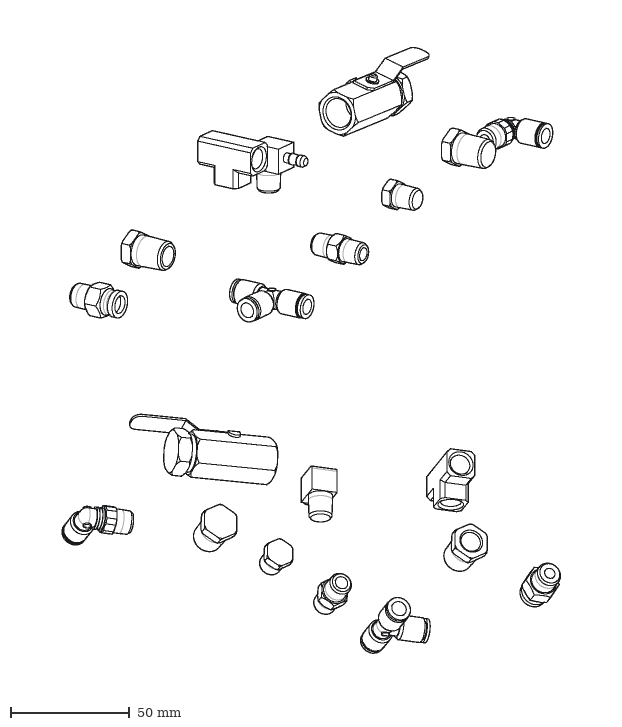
import cadquery as cq
import math


SMALL_THREAD_D = 9.9
LARGE_THREAD_D = 13.2
THREAD_TAPER = 1 / 32
TIP_CHAMFER = 1.1
TIP_DROP = 0.7
HEX_CHAMFER = 0.5
SMALL_HEX_FLATS = 11.4
LARGE_HEX_FLATS = 14.3


def turned(profile):
    """Solid of revolution about X from (x, radius) points in order of x."""
    first_x = profile[0][0]
    last_x = profile[-1][0]
    outline = [(first_x, 0), *profile, (last_x, 0)]
    return cq.Workplane("XY").polyline(outline).close().revolve(360, (0, 0, 0), (1, 0, 0))


def rod(start, end, diameter):
    """Cylinder along X."""
    return turned([(start, diameter / 2), (end, diameter / 2)])


def countersink(diameter, depth):
    """Cone that widens the mouth of a bore of this diameter at x = 0."""
    radius = diameter / 2
    return turned([(0, radius + depth), (depth, radius)])


def chamfered_hexagon(start, end, flats, corners_up, left_chamfer, right_chamfer, chamfer_drop):
    """Hexagon bar along X with its corners turned off; a chamfer of 0 leaves that end square."""
    corner_d = flats / math.cos(math.pi / 6)
    bar = cq.Workplane("YZ").workplane(offset=start).polygon(6, corner_d).extrude(end - start)
    if corners_up:
        bar = bar.rotate((0, 0, 0), (1, 0, 0), 30)
    full = corner_d / 2
    envelope = [(start + left_chamfer, full), (end - right_chamfer, full)]
    if left_chamfer:
        envelope.insert(0, (start, full - chamfer_drop))
    if right_chamfer:
        envelope.append((end, full - chamfer_drop))
    return bar.intersect(turned(envelope))


def taper_thread(start, length, diameter, plain):
    """Male pipe thread along +X: a plain shank, a taper and a chamfered tip."""
    radius = diameter / 2
    taper_end = length - TIP_CHAMFER
    tip_radius = radius - (taper_end - plain) * THREAD_TAPER
    return turned([
        (start, radius),
        (start + plain, radius),
        (start + taper_end, tip_radius),
        (start + length, tip_radius - TIP_DROP),
    ])


def along_minus_y(body):
    """Turns the +X direction of a body to -Y."""
    return body.rotate((0, 0, 0), (0, 0, 1), -90)


LARGE_HEAD = 4.8
LARGE_LENGTH = 19.0
LARGE_SHANK = 2.7
SMALL_HEAD = 4.4
SMALL_LENGTH = 14.5
SMALL_SHANK = 2.2
BUSHING_BORE_D = 8.6
BUSHING_MOUTH = 0.7


def headed_thread(head, total, flats, thread_d, shank):
    hexagon = chamfered_hexagon(0, head, flats, True, HEX_CHAMFER, HEX_CHAMFER, HEX_CHAMFER)
    return hexagon.union(taper_thread(head, total - head, thread_d, shank))


def make_large_plug():
    plug = headed_thread(LARGE_HEAD, LARGE_LENGTH, LARGE_HEX_FLATS, LARGE_THREAD_D, LARGE_SHANK)
    return plug.translate((68.7 - LARGE_LENGTH, 22.5, 25.0))


def make_small_plug():
    plug = headed_thread(SMALL_HEAD, SMALL_LENGTH, SMALL_HEX_FLATS, SMALL_THREAD_D, SMALL_SHANK)
    return plug.translate((32.2, 2.0, 6.2))


def make_bushing():
    bushing = headed_thread(LARGE_HEAD, LARGE_LENGTH, LARGE_HEX_FLATS, LARGE_THREAD_D, LARGE_SHANK)
    bushing = bushing.cut(rod(0, LARGE_LENGTH, BUSHING_BORE_D))
    bushing = bushing.cut(countersink(BUSHING_BORE_D, BUSHING_MOUTH))
    return bushing.translate((-63.4, -51.1, -21.8))


NIPPLE_HALF = 12.1
NIPPLE_HEX_HALF = 3.0
NIPPLE_HEX_CHAMFER = 1.0
NIPPLE_BORE_D = 5.5


def make_nipple():
    nipple = chamfered_hexagon(
        -NIPPLE_HEX_HALF, NIPPLE_HEX_HALF, SMALL_HEX_FLATS, True,
        NIPPLE_HEX_CHAMFER, NIPPLE_HEX_CHAMFER, NIPPLE_HEX_CHAMFER,
    )
    thread = taper_thread(NIPPLE_HEX_HALF, NIPPLE_HALF - NIPPLE_HEX_HALF, SMALL_THREAD_D, SMALL_SHANK)
    nipple = nipple.union(thread).union(thread.mirror("YZ"))
    nipple = nipple.cut(rod(-NIPPLE_HALF, NIPPLE_HALF, NIPPLE_BORE_D))
    return nipple.translate((20.2, -17.2, -15.4))


STRAIGHT_LENGTH = 22.7
STRAIGHT_THREAD = 8.6
STRAIGHT_THREAD_D = 10.5
STRAIGHT_HEX_END = 16.5
STRAIGHT_FLATS = 12.8
STRAIGHT_CHAMFER = 1.1
STRAIGHT_CORNER_DROP = 1.6
STRAIGHT_COLLAR_D = 11.5
STRAIGHT_COLLAR = 2.4
STRAIGHT_BORE_D = 4.5
STRAIGHT_TUBE_D = 7.5


def make_straight():
    thread = taper_thread(-STRAIGHT_THREAD, STRAIGHT_THREAD, STRAIGHT_THREAD_D, 4.8).mirror("YZ")
    hexagon = chamfered_hexagon(
        STRAIGHT_THREAD, STRAIGHT_HEX_END, STRAIGHT_FLATS, False,
        STRAIGHT_CHAMFER, STRAIGHT_CHAMFER, STRAIGHT_CORNER_DROP,
    )
    collar_start = STRAIGHT_LENGTH - STRAIGHT_COLLAR
    sleeve = turned([
        (STRAIGHT_HEX_END, 5.7),
        (STRAIGHT_HEX_END + 1.5, 5.3),
        (STRAIGHT_HEX_END + 2.5, 4.8),
        (collar_start, 4.0),
    ])
    collar = rod(collar_start, STRAIGHT_LENGTH, STRAIGHT_COLLAR_D)
    straight = thread.union(hexagon).union(sleeve).union(collar)
    straight = straight.cut(rod(0, STRAIGHT_LENGTH, STRAIGHT_BORE_D))
    straight = straight.cut(rod(STRAIGHT_HEX_END, STRAIGHT_LENGTH, STRAIGHT_TUBE_D))
    corner_reach = STRAIGHT_FLATS / 2 / math.cos(math.pi / 6)
    return straight.translate((-68.7, corner_reach - 91.6, -34.3))


TUBE_D = 6.5
PORT_D = 10.6
NECK_D = 7.9
NECK_END = 5.1
SHOULDER_END = 6.5
PORT_LENGTH = 18.1
RELEASE_COLLAR = 1.3
RELEASE_COLLAR_D = 10.3
BOSS_D = 3.5
BOSS_REACH = 4.2


def push_port(body_end, groove_d, collar, collar_d, length):
    """Push-in port along +X from the fitting centre: neck, shoulder, body, groove, collar."""
    profile = [
        (0, NECK_D / 2),
        (NECK_END, NECK_D / 2),
        (NECK_END, NECK_D / 2 + 0.5),
        (SHOULDER_END, PORT_D / 2),
        (body_end, PORT_D / 2),
        (body_end, groove_d / 2),
        (length - collar, groove_d / 2),
        (length - collar, collar_d / 2),
        (length, collar_d / 2),
    ]
    return turned(profile)


def centre_boss():
    """Round boss along Z that stands just proud of the neck at both ends."""
    return cq.Workplane("XY").circle(BOSS_D / 2).extrude(BOSS_REACH, both=True)


def make_push_tee():
    open_port = push_port(PORT_LENGTH - 2.4, 7.9, RELEASE_COLLAR, RELEASE_COLLAR_D, PORT_LENGTH)
    closed_port = push_port(PORT_LENGTH - 2.4, 9.7, 1.6, RELEASE_COLLAR_D, PORT_LENGTH)
    tee = closed_port.union(open_port.mirror("YZ"))
    tee = tee.union(along_minus_y(open_port))
    tee = tee.union(centre_boss())
    tee = tee.cut(rod(-PORT_LENGTH, PORT_LENGTH, TUBE_D))
    tee = tee.cut(along_minus_y(rod(0, PORT_LENGTH, TUBE_D)))
    return tee.translate((-3.8, -32.8, -38.0))


ELBOW_PORT = 17.8
LEG_SLEEVE_D = 9.5
LEG_SLEEVE_START = 3.1
LEG_GROOVE_START = 4.2
LEG_GROOVE_END = 5.5
LEG_GROOVE_D = 8.8
LEG_HEX_START = 6.5
LEG_HEX_END = 11.4
LEG_HEX_CORNER_D = 12.0
LEG_HEX_CHAMFER = 1.1
LEG_LENGTH = 19.2
LEG_THREAD_D = 10.3
LEG_BORE_D = 5.0


def make_push_elbow():
    port = push_port(16.0, 9.9, 1.1, PORT_D, ELBOW_PORT)
    corner = cq.Workplane("XY").sphere(NECK_D / 2)
    leg = rod(0, LEG_SLEEVE_START, NECK_D)
    leg = leg.union(rod(LEG_SLEEVE_START, LEG_GROOVE_START, LEG_SLEEVE_D))
    leg = leg.union(rod(LEG_GROOVE_START, LEG_GROOVE_END, LEG_GROOVE_D))
    leg = leg.union(rod(LEG_GROOVE_END, LEG_HEX_START, LEG_SLEEVE_D))
    hexagon = chamfered_hexagon(
        LEG_HEX_START, LEG_HEX_END, SMALL_HEX_FLATS, True, LEG_HEX_CHAMFER, 0, LEG_HEX_CHAMFER
    )
    leg = leg.union(hexagon.intersect(rod(LEG_HEX_START, LEG_HEX_END, LEG_HEX_CORNER_D)))
    leg = leg.union(taper_thread(LEG_HEX_END, LEG_LENGTH - LEG_HEX_END, LEG_THREAD_D, 3.3))
    elbow = port.union(corner).union(along_minus_y(leg)).union(centre_boss())
    elbow = elbow.cut(rod(0, ELBOW_PORT, TUBE_D))
    elbow = elbow.cut(along_minus_y(rod(0, LEG_LENGTH, LEG_BORE_D)))
    return elbow.translate((36.1, 91.6 - PORT_D / 2, 12.3))


BLOCK_SIDE = 12.5
BLOCK_CHAMFER = 1.6
BLOCK_RUN = 27.1
STEM_DROP = 13.2
BLOCK_BORE_D = 8.6
BLOCK_MOUTH = 1.1


def make_block_tee():
    half_run = BLOCK_RUN / 2
    run = cq.Workplane("XY").box(BLOCK_RUN, BLOCK_SIDE, BLOCK_SIDE).edges("|X").chamfer(BLOCK_CHAMFER)
    stem = cq.Workplane("XY").rect(BLOCK_SIDE, BLOCK_SIDE).extrude(-STEM_DROP)
    stem = stem.edges("|Z").chamfer(BLOCK_CHAMFER)
    tee = run.union(stem)
    run_bore = rod(-half_run, half_run, BLOCK_BORE_D)
    left_mouth = countersink(BLOCK_BORE_D, BLOCK_MOUTH).translate((-half_run, 0, 0))
    stem_bore = rod(0, STEM_DROP, BLOCK_BORE_D).union(countersink(BLOCK_BORE_D, BLOCK_MOUTH))
    stem_bore = stem_bore.rotate((0, 0, 0), (0, 1, 0), -90).translate((0, 0, -STEM_DROP))
    tee = tee.cut(run_bore).cut(left_mouth).cut(left_mouth.mirror("YZ")).cut(stem_bore)
    return tee.translate((-3.8, -61.7, 35.0))


ELBOW_BLOCK_LENGTH = 14.5
ELBOW_BLOCK_SIDE = 11.2
ELBOW_BLOCK_ROUND = 1.5
BARB_AXIS_DROP = 5.3
BARB_STEP_D = 5.0
BARB_ROOT_D = 4.2
THREAD_INSET = 5.5
STUD_LENGTH = 10.3


def make_barb_elbow():
    block = cq.Workplane("XY").box(
        ELBOW_BLOCK_LENGTH, ELBOW_BLOCK_SIDE, ELBOW_BLOCK_SIDE, centered=(False, True, False)
    )
    block = block.translate((0, 0, -ELBOW_BLOCK_SIDE))
    block = block.edges("<X and >Z").fillet(ELBOW_BLOCK_ROUND)
    barb = turned([
        (ELBOW_BLOCK_LENGTH, BARB_ROOT_D / 2),
        (17.2, BARB_ROOT_D / 2),
        (17.2, BARB_STEP_D / 2),
        (21.0, BARB_ROOT_D / 2),
        (21.0, BARB_STEP_D / 2),
        (23.3, BARB_STEP_D / 2),
        (24.5, 1.6),
    ]).translate((0, 0, -BARB_AXIS_DROP))
    stud = taper_thread(0, STUD_LENGTH, LEG_THREAD_D, SMALL_SHANK).rotate((0, 0, 0), (0, 1, 0), 90)
    stud = stud.translate((THREAD_INSET, 0, -ELBOW_BLOCK_SIDE))
    return block.union(barb).union(stud).translate((-37.4, 5.3, 15.8))


VALVE_FLATS = 17.5
VALVE_LENGTH = 44.7
VALVE_CHAMFER = 1.1
BODY_LENGTH = 36.3
NUT_START = 38.5
GROOVE_D = 16.1
VALVE_BORE_D = 12.5
VALVE_MOUTH = 1.0
VALVE_BORE_DEPTH = 16.5
LEVER_WIDTH = 9.3
LEVER_THICKNESS = 1.1
LEVER_OFFSET = 0.4
LEVER_START = 15.0
LEVER_BEND_LOW = 32.0
LEVER_BEND_HIGH = 37.5
LEVER_END = 60.6
LEVER_RISE = 5.04
LEVER_END_ROUND = 3.7
LEVER_CORNER_CHAMFER = 2.2
TAB_WIDTH = 5.1
TAB_LENGTH = 4.0
TAB_SHIFT = -0.4
STEM_PLACE = 22.5
STEM_D = 3.5
STEM_HEIGHT = 12.8
STEM_CHAMFER = 0.5
WASHER_D = 5.5
WASHER_HEIGHT = 0.5
VALVE_ROLL = 14
VALVE_PITCH = -3.2
VALVE_YAW = 2.3


def valve_body():
    body = chamfered_hexagon(0, BODY_LENGTH, VALVE_FLATS, False, VALVE_CHAMFER, VALVE_CHAMFER, VALVE_CHAMFER)
    body = body.union(rod(BODY_LENGTH, NUT_START, GROOVE_D))
    nut = chamfered_hexagon(
        NUT_START, VALVE_LENGTH, VALVE_FLATS, False, VALVE_CHAMFER, VALVE_CHAMFER, VALVE_CHAMFER
    )
    body = body.union(nut)
    body = body.cut(rod(0, VALVE_BORE_DEPTH, VALVE_BORE_D))
    body = body.cut(countersink(VALVE_BORE_D, VALVE_MOUTH))
    return body.rotate((0, 0, 0), (0, 0, 1), 90)


def valve_lever():
    low = VALVE_FLATS / 2
    high = low + LEVER_RISE
    side = (
        cq.Workplane("YZ")
        .moveTo(LEVER_START, low)
        .lineTo(LEVER_BEND_LOW, low)
        .lineTo(LEVER_BEND_HIGH, high)
        .lineTo(LEVER_END, high)
        .lineTo(LEVER_END, high + LEVER_THICKNESS)
        .lineTo(LEVER_BEND_HIGH, high + LEVER_THICKNESS)
        .lineTo(LEVER_BEND_LOW, low + LEVER_THICKNESS)
        .lineTo(LEVER_START, low + LEVER_THICKNESS)
        .close()
        .extrude(LEVER_WIDTH / 2, both=True)
    )
    side = side.edges("|Z and >Y").fillet(LEVER_END_ROUND)
    side = side.edges("|Z and <Y and >X").chamfer(LEVER_CORNER_CHAMFER)
    return side.translate((LEVER_OFFSET, 0, 0))


def lever_tab():
    """Round-ended stop tab, bent from the lever edge down along the next flat of the body."""
    straight = TAB_LENGTH - TAB_WIDTH / 2
    tab = (
        cq.Workplane("XY")
        .moveTo(0, -TAB_WIDTH / 2)
        .lineTo(-straight, -TAB_WIDTH / 2)
        .threePointArc((-TAB_LENGTH, 0), (-straight, TAB_WIDTH / 2))
        .lineTo(0, TAB_WIDTH / 2)
        .close()
        .extrude(LEVER_THICKNESS)
    )
    half_flat = VALVE_FLATS / 2 * math.tan(math.pi / 6)
    tab = tab.rotate((0, 0, 0), (0, 1, 0), -60)
    return tab.translate((-half_flat, LEVER_START + TAB_SHIFT + TAB_WIDTH / 2, VALVE_FLATS / 2))


def valve_stem():
    plate_top = VALVE_FLATS / 2 + LEVER_THICKNESS
    stem = cq.Workplane("XY").circle(STEM_D / 2).extrude(STEM_HEIGHT - plate_top)
    stem = stem.faces(">Z").chamfer(STEM_CHAMFER)
    washer = cq.Workplane("XY").circle(WASHER_D / 2).extrude(WASHER_HEIGHT)
    return stem.union(washer).translate((LEVER_OFFSET, STEM_PLACE, plate_top))


def make_valve():
    valve = valve_body().union(valve_lever()).union(lever_tab()).union(valve_stem())
    valve = valve.rotate((0, 0, 0), (0, 1, 0), VALVE_ROLL)
    valve = valve.rotate((0, 0, 0), (1, 0, 0), VALVE_PITCH)
    valve = valve.rotate((0, 0, 0), (0, 0, 1), VALVE_YAW)
    return valve.translate((-6.2, 19.0, 29.5))


large_plug = make_large_plug()
small_plug = make_small_plug()
bushing = make_bushing()
nipple = make_nipple()
straight = make_straight()
push_tee = make_push_tee()
push_elbow = make_push_elbow()
block_tee = make_block_tee()
barb_elbow = make_barb_elbow()
valve = make_valve()

result = cq.Compound.makeCompound([
    large_plug.val(),
    small_plug.val(),
    bushing.val(),
    nipple.val(),
    straight.val(),
    push_tee.val(),
    push_elbow.val(),
    block_tee.val(),
    barb_elbow.val(),
    valve.val(),
])